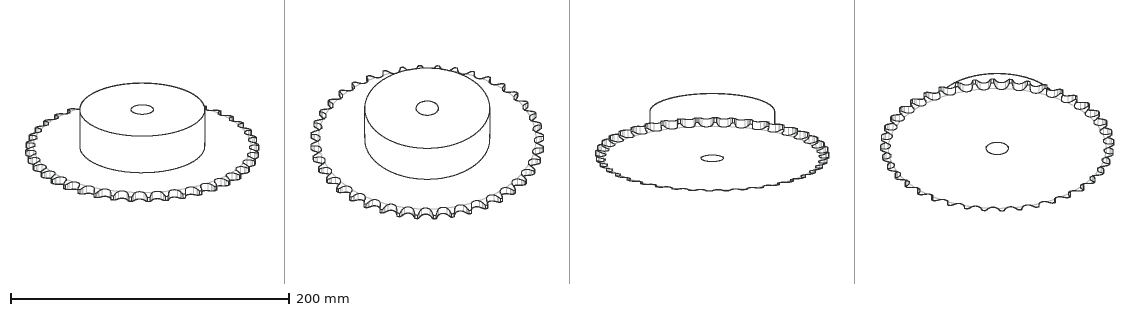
import cadquery as cq
import math

tooth_count = 40
chain_pitch = 12.7
roller_diameter = 7.75
form_clearance = 0.0381
tip_radius = 83.9

plate_thickness = 5.9
side_relief_radius = 13.0
side_relief_depth = 1.3
hub_diameter = 90.0
overall_height = 35.0
bore_diameter = 16.0

pitch_angle = 360.0 / tooth_count
pitch_radius = chain_pitch / (2 * math.sin(math.radians(pitch_angle / 2)))
side_relief_height = math.sqrt(side_relief_radius**2 - (side_relief_radius - side_relief_depth)**2)
relief_start_radius = tip_radius - side_relief_height
cut_margin = 1.0

seat_radius = 0.5025 * roller_diameter + form_clearance
working_radius = 1.3025 * roller_diameter + form_clearance
working_centre_offset = 0.8 * roller_diameter
topping_centre_offset = 1.4 * roller_diameter
seat_end_angle = math.radians(35 + 60 / tooth_count)
working_span = math.radians(18 - 56 / tooth_count)
topping_tilt = math.radians(17 - 64 / tooth_count)
topping_radius = (
    roller_diameter * (0.8 * math.cos(working_span) + 1.4 * math.cos(topping_tilt) - 1.3025)
    - form_clearance
)


def polar_point(centre, radius, angle):
    return (centre[0] + radius * math.cos(angle), centre[1] + radius * math.sin(angle))


def flank_points():
    """Right flank of the gap centred on +Y, from the seat end out past the tooth tip."""
    roller_centre = (0, pitch_radius)
    half_pitch = math.radians(pitch_angle / 2)

    working_centre = polar_point(roller_centre, working_centre_offset, math.pi - seat_end_angle)
    seat_end = polar_point(working_centre, working_radius, -seat_end_angle)
    working_middle = polar_point(working_centre, working_radius, working_span / 2 - seat_end_angle)
    flank_angle = working_span - seat_end_angle
    working_end = polar_point(working_centre, working_radius, flank_angle)

    topping_centre = polar_point(roller_centre, topping_centre_offset, -half_pitch)
    topping_start = polar_point(topping_centre, topping_radius, math.pi + flank_angle)

    end_radius = tip_radius + cut_margin
    centre_distance = math.hypot(*topping_centre)
    centre_bearing = math.atan2(topping_centre[1], topping_centre[0])
    cosine = (end_radius**2 - centre_distance**2 - topping_radius**2) / (
        2 * centre_distance * topping_radius
    )
    end_angle = centre_bearing + math.acos(cosine)
    topping_middle = polar_point(
        topping_centre, topping_radius, (math.pi + flank_angle + end_angle) / 2
    )
    topping_end = polar_point(topping_centre, topping_radius, end_angle)
    return seat_end, working_middle, working_end, topping_start, topping_middle, topping_end


def mirrored(point):
    return (-point[0], point[1])


def make_tooth_gap():
    """Cutter for one gap: roller seat at the bottom and a flank on each side."""
    flank = flank_points()
    seat_end, working_middle, working_end, topping_start, topping_middle, topping_end = flank
    return (
        cq.Workplane("XY")
        .moveTo(*mirrored(topping_end))
        .threePointArc(mirrored(topping_middle), mirrored(topping_start))
        .lineTo(*mirrored(working_end))
        .threePointArc(mirrored(working_middle), mirrored(seat_end))
        .threePointArc((0, pitch_radius - seat_radius), seat_end)
        .threePointArc(working_middle, working_end)
        .lineTo(*topping_start)
        .threePointArc(topping_middle, topping_end)
        .close()
        .extrude(plate_thickness)
    )


def make_blank():
    """Turned plate whose rim is rounded off towards the tip on both sides."""
    turn = math.asin(side_relief_height / side_relief_radius) / 2
    middle_radius = relief_start_radius + side_relief_radius * math.sin(turn)
    middle_drop = side_relief_radius * (1 - math.cos(turn))
    return (
        cq.Workplane("XZ")
        .lineTo(relief_start_radius, 0)
        .threePointArc((middle_radius, middle_drop), (tip_radius, side_relief_depth))
        .lineTo(tip_radius, plate_thickness - side_relief_depth)
        .threePointArc(
            (middle_radius, plate_thickness - middle_drop),
            (relief_start_radius, plate_thickness),
        )
        .lineTo(0, plate_thickness)
        .close()
        .revolve(360, (0, 0, 0), (0, 1, 0))
    )


def make_toothed_plate():
    plate = make_blank()
    gap = make_tooth_gap()
    gaps = [
        gap.rotate((0, 0, 0), (0, 0, 1), index * pitch_angle).val()
        for index in range(tooth_count)
    ]
    return plate.cut(cq.Workplane(cq.Compound.makeCompound(gaps)))


def make_hub():
    return cq.Workplane("XY").circle(hub_diameter / 2).extrude(overall_height)


def make_bore():
    return cq.Workplane("XY").circle(bore_diameter / 2).extrude(overall_height)


result = make_toothed_plate().union(make_hub()).cut(make_bore())